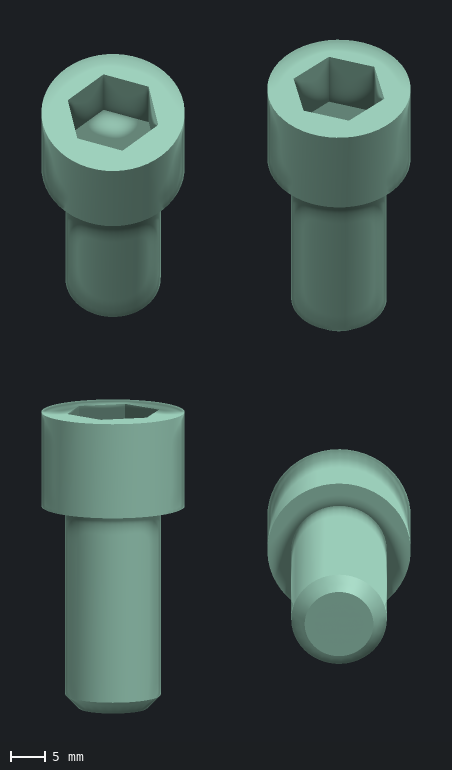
import cadquery as cq
import math

shank_diameter = 14.0
shank_length = 30.0
head_diameter = 1.5 * shank_diameter
head_height = shank_diameter
tip_chamfer = 1.96
socket_across_flats = 12.095
socket_depth = 9.0


def make_head():
    """Cylindrical head standing on the XY plane."""
    return cq.Workplane("XY").circle(head_diameter / 2).extrude(head_height)


def make_shank():
    """Shank hanging below the head, with a chamfered tip."""
    shank = cq.Workplane("XY").circle(shank_diameter / 2).extrude(-shank_length)
    return shank.faces("<Z").chamfer(tip_chamfer)


def make_socket():
    """Hexagonal drive socket with two corners on the X axis."""
    across_corners = socket_across_flats / math.cos(math.pi / 6)
    return (
        cq.Workplane("XY")
        .workplane(offset=head_height - socket_depth)
        .polygon(6, across_corners)
        .extrude(socket_depth)
    )


result = make_head().union(make_shank()).cut(make_socket())